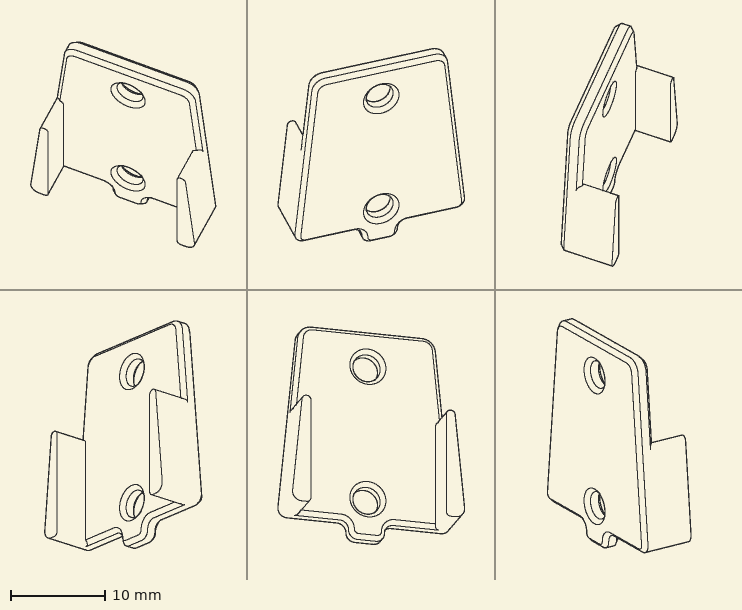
import cadquery as cq
import math

width = 19.08
depth = 6.0
height = 23.5

plate_thickness = 2.0
edge_chamfer = 0.5
side_slope = 0.1
top_corner_radius = 1.5
bottom_corner_radius = 1.0

tab_height = 2.0
tab_half_width = 2.0
tab_radius = 0.99

arm_inner_x = 7.5
arm_top_z = 14.0
arm_bottom_radius = 0.5

hole_diameter = 3.0
hole_heights = (4.5, 19.48)

corner_overhang = bottom_corner_radius * (math.hypot(1, side_slope) + side_slope - 1)
bottom_half_width = width / 2 + corner_overhang


def side_x(z):
    """X of the sloping right side at height z."""
    return bottom_half_width - side_slope * (z - tab_height)


def round_corners(body, corners, radius):
    """Round the Y-parallel edges nearest to the given (x, z) corners."""
    for x, z in corners:
        edge = cq.selectors.NearestToPointSelector((x, -plate_thickness / 2, z))
        body = body.edges("|Y").edges(edge).fillet(radius)
    return body


def mirrored(x, z):
    return [(-x, z), (x, z)]


def make_plate():
    right_side = [
        (tab_half_width, 0),
        (tab_half_width, tab_height),
        (bottom_half_width, tab_height),
        (side_x(height), height),
    ]
    left_side = [(-x, z) for x, z in reversed(right_side)]
    plate = cq.Workplane("XZ").polyline(right_side + left_side).close().extrude(plate_thickness)
    plate = round_corners(plate, mirrored(side_x(height), height), top_corner_radius)
    plate = round_corners(plate, mirrored(bottom_half_width, tab_height), bottom_corner_radius)
    plate = round_corners(plate, mirrored(tab_half_width, tab_height), tab_radius)
    plate = round_corners(plate, mirrored(tab_half_width, 0), tab_radius)
    for z in hole_heights:
        hole = cq.Workplane("XZ", origin=(0, 0, z)).circle(hole_diameter / 2)
        plate = plate.cut(hole.extrude(plate_thickness))
    return plate.faces("<Y or >Y").edges().chamfer(edge_chamfer)


def make_right_arm():
    """Arm flush with the plate's side, starting in front of the back chamfer."""
    slope_length = math.hypot(1, side_slope)
    top_radius = (side_x(arm_top_z) - arm_inner_x) / (1 + slope_length - side_slope)
    center_x = arm_inner_x + top_radius
    center_z = arm_top_z - top_radius
    outer_end = (
        center_x + top_radius / slope_length,
        center_z + top_radius * side_slope / slope_length,
    )
    arm = (
        cq.Workplane("XZ", origin=(0, -edge_chamfer, 0))
        .moveTo(arm_inner_x, tab_height)
        .lineTo(bottom_half_width, tab_height)
        .lineTo(*outer_end)
        .threePointArc((center_x, arm_top_z), (arm_inner_x, center_z))
        .close()
        .extrude(depth - edge_chamfer)
    )
    arm = round_corners(arm, [(bottom_half_width, tab_height)], bottom_corner_radius)
    return round_corners(arm, [(arm_inner_x, tab_height)], arm_bottom_radius)


right_arm = make_right_arm()
result = make_plate().union(right_arm).union(right_arm.mirror("YZ"))